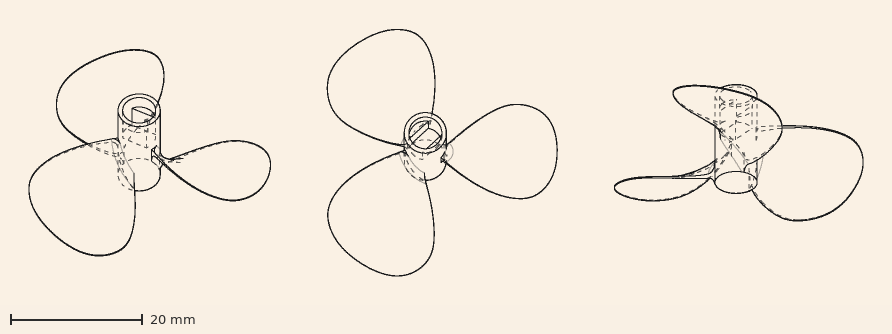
import cadquery as cq
import math

HUB_HEIGHT = 15.5
HUB_RADIUS = 3.2

BORE_RADIUS = 2.5
BORE_DEPTH = 2.28
FLAT_SPACING = 2.95
SOCKET_DEPTH = 6.25

BLADE_COUNT = 3
FIRST_BLADE_ANGLE = 17.0
BLADE_TOP = HUB_HEIGHT - SOCKET_DEPTH
BLADE_PITCH = 36.2
BLADE_WIDTH = 0.55
BLADE_AXIS_HEIGHT = 4.48
ROOT_FILLET = 1.23
TIP_RADIUS = 20.05

LEADING_EDGE = [(2.25, -2.1), (5.05, -4.48), (8.85, -6.9), (13.32, -8.3), (16.15, -7.9), (17.85, -6.65)]
TRAILING_EDGE = [(2.6, 1.2), (5.45, 3.95), (9.05, 6.65), (13.32, 8.25), (17.85, 6.6)]

TRIM_ALLOWANCE = 1.85

ON_SURFACE = 0.005

ORIGIN = (0, 0, 0)
Z_AXIS = (0, 0, 1)


def turned(body, angle):
    """The body turned about the hub axis."""
    return body.rotate(ORIGIN, Z_AXIS, angle)


def hub_cylinder(height):
    """Solid cylinder of the hub radius, with its seam turned away from a blade along +X."""
    half_turn = 180
    return turned(cq.Workplane("XY").circle(HUB_RADIUS).extrude(height), half_turn)


def is_blade_root(edge):
    """True for the helical edges where a blade meets the hub."""
    on_hub = all(
        math.isclose(math.hypot(point.x, point.y), HUB_RADIUS, abs_tol=ON_SURFACE)
        for point in edge.positions([0, 0.5, 1])
    )
    return on_hub and edge.geomType() == "BSPLINE"


def make_blade_blank():
    """Helical bar on an overlong core, rounded where the two meet."""
    height = HUB_HEIGHT + 2 * TRIM_ALLOWANCE
    reach = TIP_RADIUS + TRIM_ALLOWANCE
    degrees_per_unit = 360 / BLADE_PITCH
    start_angle = degrees_per_unit * (BLADE_AXIS_HEIGHT + TRIM_ALLOWANCE)
    bar = (
        cq.Workplane("XY")
        .sketch()
        .push([(reach / 2, 0)])
        .rect(reach, BLADE_WIDTH)
        .finalize()
        .twistExtrude(height, -degrees_per_unit * height)
    )
    blank = hub_cylinder(height).union(turned(bar, start_angle)).val()
    roots = [edge for edge in blank.Edges() if is_blade_root(edge)]
    blank = blank.fillet(ROOT_FILLET, roots)
    return cq.Workplane(blank).translate((0, 0, -TRIM_ALLOWANCE))


def make_blade():
    """Blade blank trimmed to the egg-shaped outline, along +X."""
    edge_points = LEADING_EDGE[1:] + [(TIP_RADIUS, 0)] + TRAILING_EDGE[::-1]
    outline = (
        cq.Workplane("XY")
        .lineTo(*LEADING_EDGE[0])
        .spline(edge_points, includeCurrent=True)
        .close()
        .extrude(BLADE_TOP)
    )
    return make_blade_blank().intersect(outline)


def make_socket():
    """Round bore with a slot with two flats below it, reaching the top of the hub."""
    hub_top = cq.Workplane("XY", origin=(0, 0, HUB_HEIGHT))
    bore = hub_top.circle(BORE_RADIUS).extrude(-BORE_DEPTH)
    round_slot = hub_top.circle(BORE_RADIUS).extrude(-SOCKET_DEPTH)
    between_flats = cq.Workplane("XY").box(2 * BORE_RADIUS, FLAT_SPACING, 2 * HUB_HEIGHT)
    return bore.union(round_slot.intersect(between_flats))


result = hub_cylinder(HUB_HEIGHT)
blade = make_blade()
for index in range(BLADE_COUNT):
    result = result.union(turned(blade, FIRST_BLADE_ANGLE + index * 360 / BLADE_COUNT))
result = result.cut(make_socket())